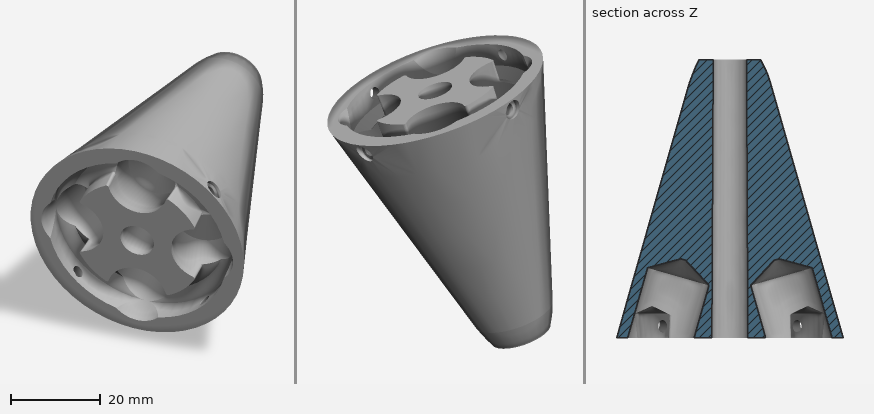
import cadquery as cq
import math

length = 62.2
base_radius = 25.4
shoulder_radius = 9.15
shoulder_y = 56.95
tip_radius = 7.0
tip_land_radius = 7.05
tip_land_width = 0.25

axle_base_radius = 4.0
axle_tip_radius = 3.7

groove_outer_radius = 21.3
groove_inner_radius = 15.55
hub_corner_fillet = 0.5
groove_wall_depth = 5.4
groove_bottom_angle = 118.0

pocket_count = 4
pocket_radius = 7.1
pocket_offset = 15.45
pocket_depth = 13.7
pocket_drill_angle = 118.0
pocket_tip_radius = 0.55

screw_count = 4
screw_y = 2.6
screw_radius = 1.4
counterbore_radius = 2.25
counterbore_depth = 1.5

taper = (base_radius - shoulder_radius) / shoulder_y
taper_angle = math.atan(taper)
groove_middle_radius = (groove_outer_radius + groove_inner_radius) / 2


def revolve_about_y(profile):
    return profile.close().revolve(360, (0, 0, 0), (0, 1, 0))


def make_body():
    """Solid cone whose rounded nose runs on smoothly from the cone wall to a narrow land."""
    profile = (
        cq.Workplane("XY")
        .lineTo(base_radius, 0)
        .lineTo(shoulder_radius, shoulder_y)
        .tangentArcPoint((tip_land_radius, length - tip_land_width), relative=False)
        .lineTo(tip_radius, length)
        .lineTo(0, length)
    )
    return revolve_about_y(profile)


def make_axle_bore():
    """Slightly tapered bore through the whole length."""
    profile = (
        cq.Workplane("XY")
        .lineTo(axle_base_radius, 0)
        .lineTo(axle_tip_radius, length)
        .lineTo(0, length)
    )
    return revolve_about_y(profile)


def make_groove():
    """Ring groove with straight walls and a V-shaped bottom, leaving a hub in the base."""
    half_width = groove_outer_radius - groove_middle_radius
    bottom_depth = groove_wall_depth + half_width / math.tan(math.radians(groove_bottom_angle / 2))
    profile = (
        cq.Workplane("XY")
        .moveTo(groove_inner_radius, 0)
        .lineTo(groove_outer_radius, 0)
        .lineTo(groove_outer_radius, groove_wall_depth)
        .lineTo(groove_middle_radius, bottom_depth)
        .lineTo(groove_inner_radius, groove_wall_depth)
    )
    return revolve_about_y(profile)


def make_pocket():
    """Drilled pocket that leans with the cone wall, with a blunt conical end."""
    overrun = pocket_radius
    drill_point = (pocket_radius - pocket_tip_radius) / math.tan(math.radians(pocket_drill_angle / 2))
    cylinder_end = pocket_depth / math.cos(taper_angle)
    profile = (
        cq.Workplane("XY")
        .moveTo(0, -overrun)
        .lineTo(pocket_radius, -overrun)
        .lineTo(pocket_radius, cylinder_end)
        .lineTo(pocket_tip_radius, cylinder_end + drill_point)
        .lineTo(0, cylinder_end + drill_point)
    )
    drill = revolve_about_y(profile)
    leaning = drill.rotate((0, 0, 0), (0, 0, 1), math.degrees(taper_angle))
    return leaning.translate((pocket_offset, 0, 0))


def make_screw_hole():
    """Radial counterbored hole through the wall into the groove."""
    surface_radius = base_radius - taper * screw_y
    seat_radius = surface_radius - counterbore_depth
    plane = cq.Plane(origin=(groove_middle_radius, screw_y, 0), xDir=(0, 1, 0), normal=(1, 0, 0))
    shank = cq.Workplane(plane).circle(screw_radius).extrude(base_radius - groove_middle_radius)
    head = (
        cq.Workplane(plane)
        .workplane(offset=seat_radius - groove_middle_radius)
        .circle(counterbore_radius)
        .extrude(base_radius - seat_radius)
    )
    return shank.union(head)


def cut_around_axis(body, cutter, count, start_angle):
    for index in range(count):
        angle = start_angle + index * 360 / count
        body = body.cut(cutter.rotate((0, 0, 0), (0, 1, 0), angle))
    return body


def is_hub_corner(edge):
    """True for the edges where the hub wall meets a pocket."""
    middle = edge.positionAt(0.5)
    on_hub_wall = abs(math.hypot(middle.x, middle.z) - groove_inner_radius) < 0.05
    return on_hub_wall and 0.05 < middle.y < groove_wall_depth - 0.05


def round_hub_corners(body):
    corners = [edge for edge in body.edges().vals() if is_hub_corner(edge)]
    return body.newObject(corners).fillet(hub_corner_fillet)


result = make_body().cut(make_axle_bore()).cut(make_groove())
result = cut_around_axis(result, make_pocket(), pocket_count, 0)
result = round_hub_corners(result)
result = cut_around_axis(result, make_screw_hole(), screw_count, 180 / screw_count)